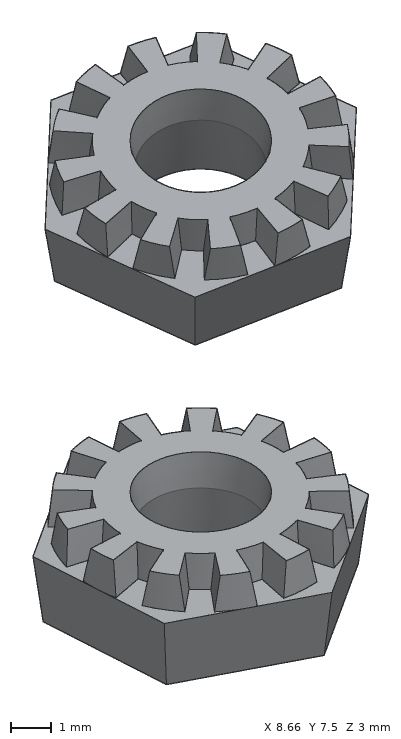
import cadquery as cq
import math

corner_width = 8.66
nut_height = 2.0
crown_height = 1.0
draft_angle = 6.5
bore_radius = 1.62
root_radius = 2.77
tooth_count = 13
tooth_top_angle = 11.8
tooth_base_angle = 16.6

flat_radius = corner_width / 2 * math.cos(math.radians(30))
tip_radius = flat_radius
draft_slope = math.tan(math.radians(draft_angle))
crown_draft = crown_height * draft_slope
nut_draft = nut_height * draft_slope
crown_top = nut_height + crown_height


def polar_point(radius, angle):
    return (radius * math.cos(angle), radius * math.sin(angle))


def crown_section(height, root, tip, tooth_angle):
    """Closed outline of the toothed ring with radial flanks; the first tooth points along +Y."""
    half_tooth = math.radians(tooth_angle / 2)
    pitch = 2 * math.pi / tooth_count
    start = math.pi / 2

    outline = cq.Workplane("XY").workplane(offset=height)
    outline = outline.moveTo(*polar_point(root, start - half_tooth))
    for tooth in range(tooth_count):
        centre = start + tooth * pitch
        outline = outline.lineTo(*polar_point(tip, centre - half_tooth))
        outline = outline.threePointArc(polar_point(tip, centre), polar_point(tip, centre + half_tooth))
        outline = outline.lineTo(*polar_point(root, centre + half_tooth))
        outline = outline.threePointArc(
            polar_point(root, centre + pitch / 2),
            polar_point(root, centre + pitch - half_tooth),
        )
    return outline.close().val()


def tapered_crown():
    base = crown_section(nut_height, root_radius, tip_radius, tooth_base_angle)
    top = crown_section(
        crown_top,
        root_radius - crown_draft,
        tip_radius - crown_draft,
        tooth_top_angle,
    )
    return cq.Workplane(cq.Solid.makeLoft([base, top], True))


def tapered_hexagon():
    """Hexagon with corners on the X axis, narrowing downward."""
    return (
        cq.Workplane("XY")
        .workplane(offset=nut_height)
        .polygon(6, corner_width)
        .extrude(-nut_height, taper=draft_angle)
    )


def bore():
    """Hole that widens from the upper face of the hexagon towards both ends."""
    profile = [
        (0, 0),
        (bore_radius + nut_draft, 0),
        (bore_radius, nut_height),
        (bore_radius + crown_draft, crown_top),
        (0, crown_top),
    ]
    return cq.Workplane("XZ").polyline(profile).close().revolve(360, (0, 0), (0, 1))


result = tapered_hexagon().union(tapered_crown()).cut(bore())